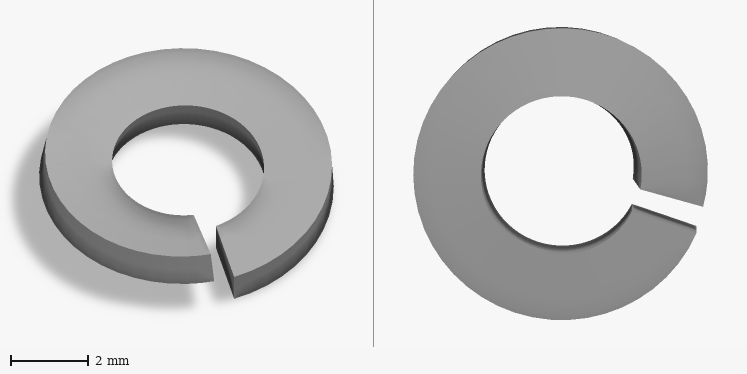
import cadquery as cq
import math

outer_radius = 3.8
section_width = 1.755
section_height = 0.89
pitch = 0.905
split_low_y = 0.23
split_high_y = -0.305
bottom_lift = -0.01


def coil():
    """Sweep the section along its outer lower edge, letting it lean as the helix twists."""
    edge_path = cq.Workplane(obj=cq.Wire.makeHelix(pitch, pitch, outer_radius))
    section = (
        cq.Workplane("XZ")
        .moveTo(outer_radius - section_width, 0)
        .lineTo(outer_radius, 0)
        .lineTo(outer_radius, section_height)
        .lineTo(outer_radius - section_width, section_height)
        .close()
    )
    return section.sweep(edge_path).translate((0, 0, bottom_lift))


def split():
    """Slot across the +X side; its walls form the upright low end and the leaning high end."""
    margin = section_height
    bottom = -margin
    top = pitch + section_height + margin
    lean_slope = pitch / (2 * math.pi * outer_radius)

    def high_wall_y(z):
        return split_high_y - lean_slope * (z - pitch)

    return (
        cq.Workplane("YZ")
        .moveTo(split_low_y, bottom)
        .lineTo(split_low_y, top)
        .lineTo(high_wall_y(top), top)
        .lineTo(high_wall_y(bottom), bottom)
        .close()
        .extrude(outer_radius + margin)
    )


result = coil().cut(split())